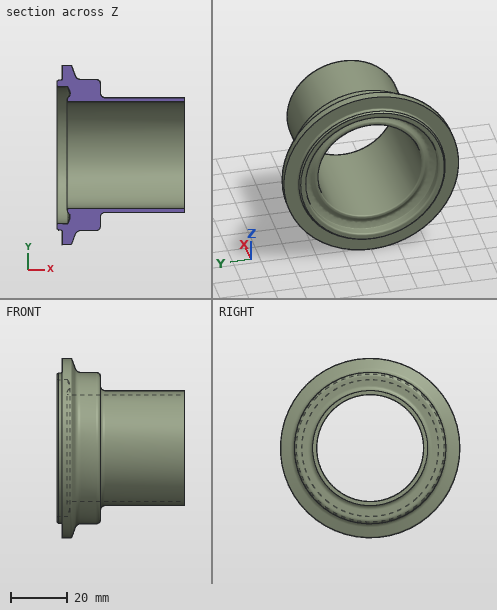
import cadquery as cq
import math


length = 45.5
spigot_length = 1.85
flange_rim_width = 2.95
body_end = 15.55
lip_setback = 3.65
groove_depth = 1.0

flange_radius = 64.0 / 2
body_radius = 54.0 / 2
spigot_radius = 53.6 / 2
tube_radius = 41.0 / 2
bore_radius = 38.0 / 2
cavity_radius = 24.3
lip_flat_radius = 19.85
groove_bottom_radius = 22.35

spigot_chamfer_length = 0.65
spigot_chamfer_height = 0.5
spigot_root_fillet = 0.45
flange_edge_round = 0.65
flange_root_fillet = 2.0
flange_back_angle = 20
body_edge_round = 1.55
tube_root_fillet = 1.65
mouth_round = 0.65
bore_edge_round = 0.5
lip_round = 1.0
lip_round_turn = 45

groove_corner = (4.0, 23.95)


def on_circle(center, radius, degrees):
    """Point (x, r) on a circle, with the angle measured from +X towards the outside."""
    angle = math.radians(degrees)
    return (center[0] + radius * math.cos(angle), center[1] + radius * math.sin(angle))


def continue_arc(profile, center, radius, start, end):
    """Draw an arc that starts where the profile already stands."""
    middle = on_circle(center, radius, (start + end) / 2)
    return profile.threePointArc(middle, on_circle(center, radius, end))


def add_arc(profile, center, radius, start, end):
    """Draw a line to the start of an arc, then the arc itself."""
    profile = profile.lineTo(*on_circle(center, radius, start))
    return continue_arc(profile, center, radius, start, end)


def add_spigot(profile):
    """Chamfered spigot that ends in a small fillet against the flange face."""
    profile = profile.lineTo(0, spigot_radius - spigot_chamfer_height)
    profile = profile.lineTo(spigot_chamfer_length, spigot_radius)
    fillet_center = (spigot_length - spigot_root_fillet, spigot_radius + spigot_root_fillet)
    return add_arc(profile, fillet_center, spigot_root_fillet, -90, 0)


def add_flange(profile):
    """Flange with a rounded rim and a sloped back that blends into the body."""
    profile = profile.lineTo(spigot_length, flange_radius)
    rim_end = spigot_length + flange_rim_width
    edge_center = (rim_end, flange_radius - flange_edge_round)
    profile = add_arc(profile, edge_center, flange_edge_round, 90, flange_back_angle)

    slope = math.radians(flange_back_angle)
    root_center_radius = body_radius + flange_root_fillet
    radial_gap = edge_center[1] - root_center_radius
    across_slope = flange_edge_round + flange_root_fillet
    axial_gap = (across_slope + radial_gap * math.sin(slope)) / math.cos(slope)
    root_center = (rim_end + axial_gap, root_center_radius)
    return add_arc(profile, root_center, flange_root_fillet, 180 + flange_back_angle, 270)


def add_body_and_tube(profile):
    """Body step with a rounded edge, then the plain tube with a filleted root."""
    edge_center = (body_end - body_edge_round, body_radius - body_edge_round)
    profile = add_arc(profile, edge_center, body_edge_round, 90, 0)
    root_center = (body_end + tube_root_fillet, tube_radius + tube_root_fillet)
    profile = add_arc(profile, root_center, tube_root_fillet, 180, 270)
    return profile.lineTo(length, tube_radius)


def add_bore_and_lip(profile):
    """Bore running forward to a lip that is rounded on both edges."""
    profile = profile.lineTo(length, bore_radius)
    bore_edge_center = (lip_setback + bore_edge_round, bore_radius + bore_edge_round)
    profile = add_arc(profile, bore_edge_center, bore_edge_round, 270, 180)
    lip_center = (lip_setback + lip_round, lip_flat_radius)
    return add_arc(profile, lip_center, lip_round, 180, 180 - lip_round_turn)


def add_groove_and_mouth(profile):
    """Curved groove behind the lip, running up the cavity wall to the rounded mouth."""
    turn = math.radians(lip_round_turn)
    points = [
        (lip_setback + groove_depth, groove_bottom_radius),
        groove_corner,
        (mouth_round, cavity_radius),
    ]
    tangents = [(math.sin(turn), math.cos(turn)), (-1, 0)]
    profile = profile.spline(points, tangents=tangents, includeCurrent=True)
    mouth_center = (mouth_round, cavity_radius + mouth_round)
    return continue_arc(profile, mouth_center, mouth_round, 270, 180)


profile = cq.Workplane("XY").moveTo(0, cavity_radius + mouth_round)
profile = add_spigot(profile)
profile = add_flange(profile)
profile = add_body_and_tube(profile)
profile = add_bore_and_lip(profile)
profile = add_groove_and_mouth(profile)

result = profile.close().revolve(360, (0, 0, 0), (1, 0, 0))